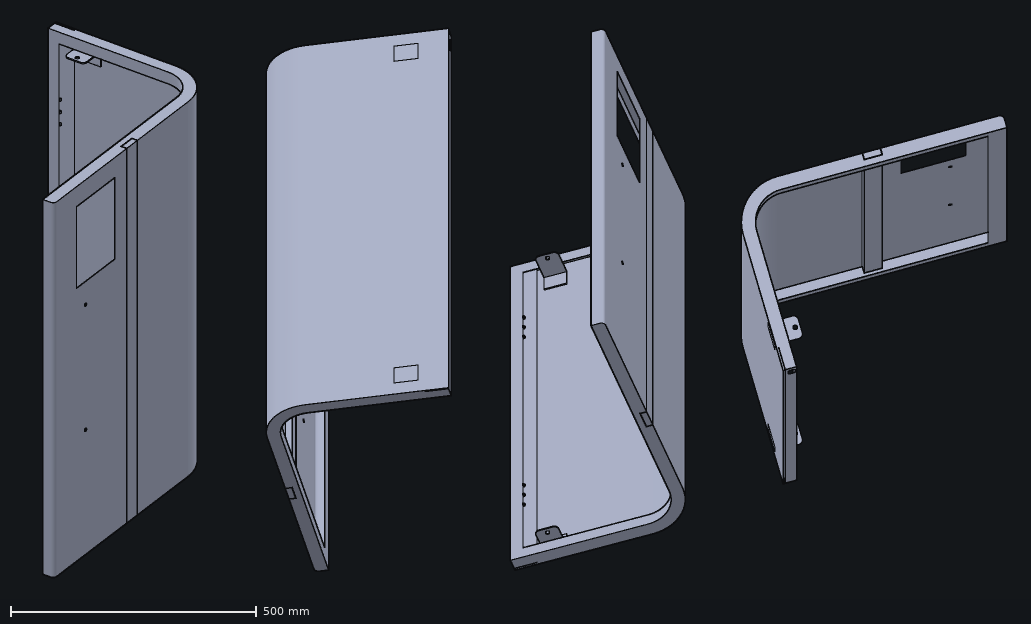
import cadquery as cq
import math

WIDTH = 398.0
LENGTH = 580.0
HEIGHT = 900.0

SHEET = 1.0
DEPTH = 30.0
CORNER_RADIUS = 100.0
END_BEND_RADIUS = 10.0

LIP_TOP_BOTTOM = 29.0
LIP_SHORT_END = 28.0
LIP_LONG_END = 40.5

STRIP_WIDTH = 49.5
STRIP_GAP = 4.0

SLOT_WIDTH = 15.0
SLOT_HEIGHT = 25.0
SLOT_FROM_BACK = 19.0
SLOT_FROM_TOP = 30.0

STUD_RADIUS = 4.0
STUD_REACH = 4.0
STUD_ROOT = 1.0
STUD_CHAMFER = 2.25
STUD_FIRST = 164.0
STUD_PITCH = 30.0
STUDS_PER_ROW = 3

WINDOW_WIDTH = 137.0
WINDOW_HEIGHT = 195.0
WINDOW_FROM_END = 80.0
WINDOW_FROM_TOP = 49.0
SCREW_HOLE_DIAMETER = 7.0
SCREW_HOLE_FROM_END = 112.5
SCREW_HOLE_SPACING = HEIGHT / 3

CHANNEL_WIDTH = 40.0
CHANNEL_DEPTH = 14.0
CHANNEL_SHEET = 1.5
CHANNEL_FROM_BACK = HEIGHT / 3

BRACKET_WIDTH = 49.5
BRACKET_SHEET = 3.0
BRACKET_LEG = 38.0
BRACKET_FROM_END = 64.0
BRACKET_TIP_FROM_BACK = 62.0
BRACKET_CORNER_RADIUS = 10.0
BRACKET_HOLE_DIAMETER = 9.0
BRACKET_HOLE_FROM_TIP = 11.0

SKIN_X = WIDTH - SHEET
SKIN_Y = LENGTH - SHEET
LIP_Y = LENGTH - DEPTH
INNER_TOP = HEIGHT - SHEET
HALF_ROOT = math.sqrt(0.5)


def box(x_range, y_range, z_range):
    """Box between two X, two Y and two Z values."""
    sizes = [high - low for low, high in (x_range, y_range, z_range)]
    corner = (x_range[0], y_range[0], z_range[0])
    return cq.Workplane("XY").box(*sizes, centered=False).translate(corner)


def l_slab(outer, inner, end_x, end_y, z_range, end_radius=0):
    """L-shaped slab between two distances inward from the outer faces of the legs.

    The short leg starts at end_x and the long leg ends at end_y, where its outer
    corner is rounded if an end_radius is given.
    """
    right = WIDTH - outer
    back = LENGTH - outer
    center_x = WIDTH - CORNER_RADIUS
    center_y = LENGTH - CORNER_RADIUS
    outer_mid = (CORNER_RADIUS - outer) * HALF_ROOT
    inner_mid = (CORNER_RADIUS - inner) * HALF_ROOT

    outline = (
        cq.Workplane("XY", origin=(0, 0, z_range[0]))
        .moveTo(end_x, back)
        .lineTo(center_x, back)
        .threePointArc((center_x + outer_mid, center_y + outer_mid), (right, center_y))
        .lineTo(right, end_y + end_radius)
    )
    if end_radius > 0:
        end_center_x = right - end_radius
        end_center_y = end_y + end_radius
        end_mid = end_radius * HALF_ROOT
        outline = outline.threePointArc(
            (end_center_x + end_mid, end_center_y - end_mid), (end_center_x, end_y)
        )
    return (
        outline.lineTo(WIDTH - inner, end_y)
        .lineTo(WIDTH - inner, center_y)
        .threePointArc((center_x + inner_mid, center_y + inner_mid), (center_x, LENGTH - inner))
        .lineTo(end_x, LENGTH - inner)
        .close()
        .extrude(z_range[1] - z_range[0])
    )


def make_shell():
    """Hollow L with a lip left standing around its open inner side."""
    outside = l_slab(0, DEPTH, 0, 0, (0, HEIGHT), END_BEND_RADIUS)
    hollow = l_slab(SHEET, DEPTH - SHEET, SHEET, SHEET, (SHEET, INNER_TOP), END_BEND_RADIUS - SHEET)
    opening = l_slab(
        DEPTH - SHEET, DEPTH, LIP_SHORT_END, LIP_LONG_END, (LIP_TOP_BOTTOM, HEIGHT - LIP_TOP_BOTTOM)
    )
    return outside.cut(hollow).cut(opening)


def add_strip(panel):
    """Strip folded from the end wall, held off the skin by a slit open at the end."""
    strip_back = SKIN_Y - STRIP_GAP
    strip = box((0, STRIP_WIDTH), (strip_back - SHEET, strip_back), (SHEET, INNER_TOP))
    slit = box((0, STRIP_WIDTH), (strip_back, SKIN_Y), (SHEET, INNER_TOP))
    return panel.union(strip).cut(slit)


def make_end_slot():
    return (
        cq.Workplane("YZ", origin=(0, LENGTH - SLOT_FROM_BACK, HEIGHT - SLOT_FROM_TOP))
        .slot2D(SLOT_HEIGHT, SLOT_WIDTH, 90)
        .extrude(SHEET)
    )


def make_stud(z):
    return (
        cq.Workplane("YZ", origin=(LIP_SHORT_END - STUD_ROOT, LIP_Y + STUD_RADIUS, z))
        .circle(STUD_RADIUS)
        .extrude(STUD_ROOT + STUD_REACH)
        .faces(">X")
        .chamfer(STUD_CHAMFER)
    )


def make_window():
    window_top = HEIGHT - WINDOW_FROM_TOP
    return box(
        (SKIN_X, WIDTH),
        (WINDOW_FROM_END, WINDOW_FROM_END + WINDOW_WIDTH),
        (window_top - WINDOW_HEIGHT, window_top),
    )


def make_screw_hole(z):
    return (
        cq.Workplane("YZ", origin=(SKIN_X, SCREW_HOLE_FROM_END, z))
        .circle(SCREW_HOLE_DIAMETER / 2)
        .extrude(SHEET)
    )


def make_panel():
    panel = add_strip(make_shell())
    panel = panel.cut(make_end_slot())
    panel = panel.cut(make_window())
    for z in (SCREW_HOLE_SPACING, 2 * SCREW_HOLE_SPACING):
        panel = panel.cut(make_screw_hole(z))
    for index in range(STUDS_PER_ROW):
        from_edge = STUD_FIRST + index * STUD_PITCH
        for z in (from_edge, HEIGHT - from_edge):
            panel = panel.union(make_stud(z))
    return panel


def make_channel():
    """U-shaped stiffener, open toward the skin, reaching from flange to flange."""
    web_x = SKIN_X - CHANNEL_DEPTH
    front = LENGTH - CHANNEL_FROM_BACK - CHANNEL_WIDTH / 2
    back = front + CHANNEL_WIDTH
    outside = box((web_x, SKIN_X), (front, back), (SHEET, INNER_TOP))
    inside = box(
        (web_x + CHANNEL_SHEET, SKIN_X),
        (front + CHANNEL_SHEET, back - CHANNEL_SHEET),
        (SHEET, INNER_TOP),
    )
    return outside.cut(inside)


def make_bracket():
    """Angle bracket with its tab lying on Z = 0 and its leg rising along the skin."""
    x_range = (BRACKET_FROM_END, BRACKET_FROM_END + BRACKET_WIDTH)
    tip = LENGTH - BRACKET_TIP_FROM_BACK
    hole_center = (BRACKET_FROM_END + BRACKET_WIDTH / 2, tip + BRACKET_HOLE_FROM_TIP)
    tab = box(x_range, (tip, SKIN_Y), (0, BRACKET_SHEET))
    tab = tab.edges("|Z and <Y").fillet(BRACKET_CORNER_RADIUS)
    hole = (
        cq.Workplane("XY")
        .center(*hole_center)
        .circle(BRACKET_HOLE_DIAMETER / 2)
        .extrude(BRACKET_SHEET)
    )
    leg = box(x_range, (SKIN_Y - BRACKET_SHEET, SKIN_Y), (0, BRACKET_LEG))
    return tab.cut(hole).union(leg)


panel = make_panel()
channel = make_channel()

brackets = []
for upside_down in (False, True):
    bracket = make_bracket().translate((0, 0, LIP_TOP_BOTTOM))
    if upside_down:
        bracket = bracket.mirror("XY", (0, 0, HEIGHT / 2))
    brackets.append(bracket.val())

result = cq.Compound.makeCompound([panel.val(), channel.val(), *brackets])